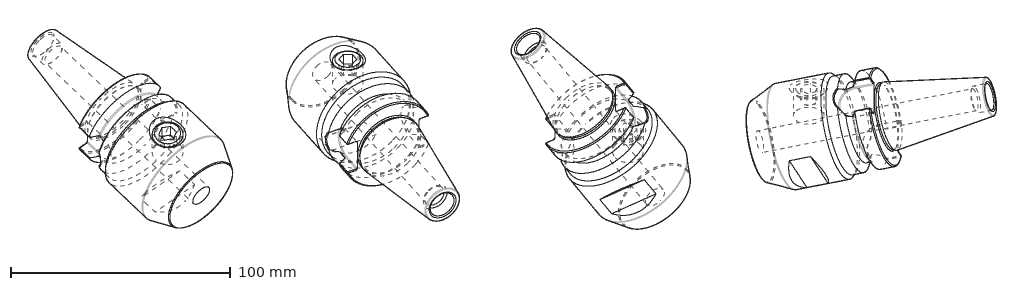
import cadquery as cq
import math

total_length = 111.4
small_end_radius = 9.0
small_end_fillet = 0.5
taper_end_x = 48.3
taper_end_radius = 15.9
relief_end_x = 49.8
relief_radius = 15.3
flange_start_x = 50.4
flange_radius = 46.0 / 2
flange_chamfer = 0.6
flange_rim_end_x = 57.8
groove_start_x = 60.2
groove_end_x = 63.6
groove_radius = 18.8
groove_fillet = 0.7
collar_start_x = 65.8
collar_end_x = 71.3
body_radius = 49.5 / 2
body_start_x = collar_end_x + body_radius - flange_radius
nose_start_x = 99.0
nose_end_radius = 19.3
nose_chamfer = 0.5
nose_fillet = 1.1

bore_radius = 10.1 / 2
mouth_radius = 12.5 / 2
mouth_chamfer_radius = 14.0 / 2
mouth_depth = 6.9
mouth_cone_angle = 120.0

slot_width = 16.0
slot_floor_y = 16.2
slot_arc_x = 59.4
slot_floor_fillet = 0.5
slot_edge_chamfer = 0.5

screw_x = 87.8
screw_radius = 14.0 / 2
screw_top_z = 23.6
screw_bottom_z = 8.9
screw_face_radius = 11.8 / 2
countersink_radius = 18.0 / 2
hex_across_flats = 7.0
hex_depth = 6.7
hex_drill_angle = 118.0

trough_floor_width = 10.2
trough_depth = 3.0


def circles_at(x):
    """Selector for the turned edges that lie in the plane at the given X."""
    margin = 0.1
    reach = body_radius + margin
    return cq.selectors.BoxSelector(
        (x - margin, -reach, -reach), (x + margin, reach, reach), boundingbox=True
    )


def make_turned_blank():
    """Solid of revolution about X: taper, flange, gripper groove, collar, body and nose."""
    outline = (
        cq.Workplane("XY")
        .moveTo(0, 0)
        .lineTo(0, small_end_radius)
        .lineTo(taper_end_x, taper_end_radius)
        .lineTo(relief_end_x, relief_radius)
        .lineTo(flange_start_x, taper_end_radius)
        .lineTo(flange_start_x, flange_radius - flange_chamfer)
        .lineTo(flange_start_x + flange_chamfer, flange_radius)
        .lineTo(flange_rim_end_x, flange_radius)
        .lineTo(groove_start_x, groove_radius)
        .lineTo(groove_end_x, groove_radius)
        .lineTo(collar_start_x, flange_radius)
        .lineTo(collar_end_x, flange_radius)
        .lineTo(body_start_x, body_radius)
        .lineTo(nose_start_x, body_radius)
        .lineTo(total_length - nose_chamfer, nose_end_radius)
        .lineTo(total_length, nose_end_radius - nose_chamfer)
        .lineTo(total_length, 0)
        .close()
    )
    blank = outline.revolve(360, (0, 0, 0), (1, 0, 0))
    blank = blank.faces("<X").edges().fillet(small_end_fillet)
    blank = blank.edges(circles_at(groove_start_x)).fillet(groove_fillet)
    return blank.edges(circles_at(nose_start_x)).fillet(nose_fillet)


def make_bore():
    """Through bore with a wider, chamfered mouth at the small end."""
    cone_slope = math.tan(math.radians(mouth_cone_angle / 2))
    mouth_chamfer = (mouth_chamfer_radius - mouth_radius) / cone_slope
    step_length = (mouth_radius - bore_radius) / cone_slope
    return (
        cq.Workplane("XY")
        .moveTo(0, 0)
        .lineTo(0, mouth_chamfer_radius)
        .lineTo(mouth_chamfer, mouth_radius)
        .lineTo(mouth_depth, mouth_radius)
        .lineTo(mouth_depth + step_length, bore_radius)
        .lineTo(total_length, bore_radius)
        .lineTo(total_length, 0)
        .close()
        .revolve(360, (0, 0, 0), (1, 0, 0))
    )


def make_drive_slot():
    """Cutter for the -Y slot: straight from the taper side, round at its closed end."""
    half_width = slot_width / 2
    return (
        cq.Workplane("XZ", origin=(0, -slot_floor_y, 0))
        .moveTo(taper_end_x, -half_width)
        .lineTo(slot_arc_x, -half_width)
        .threePointArc((slot_arc_x + half_width, 0), (slot_arc_x, half_width))
        .lineTo(taper_end_x, half_width)
        .close()
        .extrude(body_radius - slot_floor_y)
        .faces(">Y")
        .edges("not <X")
        .fillet(slot_floor_fillet)
    )


def make_slot_entry():
    """Cutter that bevels both walls of the -Y slot where they meet the flange face."""
    half_width = slot_width / 2
    flared_half_width = half_width + slot_edge_chamfer
    return (
        cq.Workplane("XZ", origin=(0, -slot_floor_y - slot_floor_fillet, 0))
        .moveTo(flange_start_x, -flared_half_width)
        .lineTo(flange_start_x + slot_edge_chamfer, -half_width)
        .lineTo(flange_start_x + slot_edge_chamfer, half_width)
        .lineTo(flange_start_x, flared_half_width)
        .close()
        .extrude(body_radius - slot_floor_y)
    )


def is_slot_rim(edge):
    """True for the edges where a slot wall meets the cylinder of the flange or of the collar."""
    box = edge.BoundingBox()
    within_slot = box.zmin > -slot_width and box.zmax < slot_width and abs(box.center.y) > slot_floor_y
    on_flange = box.xmin > flange_start_x and box.xmax < flange_rim_end_x + 0.1 and box.xlen > 1.1
    on_collar = box.xmin > collar_start_x - 0.1 and box.xmax < collar_end_x - 0.1
    return within_slot and (on_flange or on_collar)


def cut_drive_slots(holder):
    """Cut both drive slots and bevel their rims on the flange and on the collar."""
    for cutter in (make_drive_slot(), make_slot_entry()):
        holder = holder.cut(cutter).cut(cutter.mirror("XZ"))
    rims = [edge for edge in holder.edges().vals() if is_slot_rim(edge)]
    return holder.newObject(rims).chamfer(slot_edge_chamfer)


def make_screw_hole():
    """Blind hole for the screw with a 45 degree countersink at the body surface."""
    countersink_bottom_z = body_radius - (countersink_radius - screw_radius)
    return (
        cq.Workplane("XZ")
        .moveTo(0, screw_bottom_z)
        .lineTo(screw_radius, screw_bottom_z)
        .lineTo(screw_radius, countersink_bottom_z)
        .lineTo(countersink_radius, body_radius)
        .lineTo(0, body_radius)
        .close()
        .revolve(360, (0, 0, 0), (0, 1, 0))
        .translate((screw_x, 0, 0))
    )


def make_trough():
    """Cutter along Y with a flat floor and 45 degree walls."""
    half_floor = trough_floor_width / 2
    half_mouth = half_floor + trough_depth
    return (
        cq.Workplane("XZ")
        .moveTo(screw_x - half_mouth, -body_radius)
        .lineTo(screw_x - half_floor, trough_depth - body_radius)
        .lineTo(screw_x + half_floor, trough_depth - body_radius)
        .lineTo(screw_x + half_mouth, -body_radius)
        .close()
        .extrude(body_radius, both=True)
    )


def make_holder():
    holder = cut_drive_slots(make_turned_blank())
    return holder.cut(make_bore()).cut(make_screw_hole()).cut(make_trough())


def make_screw():
    """Set screw with a bevelled top and a hexagon socket that ends in a drill cone."""
    hex_corner_diameter = hex_across_flats / math.cos(math.pi / 6)
    drill_radius = hex_across_flats / 2
    cone_depth = drill_radius / math.tan(math.radians(hex_drill_angle / 2))
    socket_floor_z = screw_top_z - hex_depth
    screw = (
        cq.Workplane("XY", origin=(screw_x, 0, screw_bottom_z))
        .circle(screw_radius)
        .extrude(screw_top_z - screw_bottom_z)
        .faces(">Z")
        .chamfer(screw_radius - screw_face_radius)
    )
    socket = (
        cq.Workplane("XY", origin=(screw_x, 0, socket_floor_z))
        .polygon(6, hex_corner_diameter)
        .extrude(hex_depth)
    )
    drill_cone = cq.Workplane(
        cq.Solid.makeCone(drill_radius, 0, cone_depth, cq.Vector(screw_x, 0, socket_floor_z), cq.Vector(0, 0, -1))
    )
    return screw.cut(socket).cut(drill_cone)


holder = make_holder()
clamping_screw = make_screw()

result = cq.Compound.makeCompound([holder.solids().val(), clamping_screw.solids().val()])